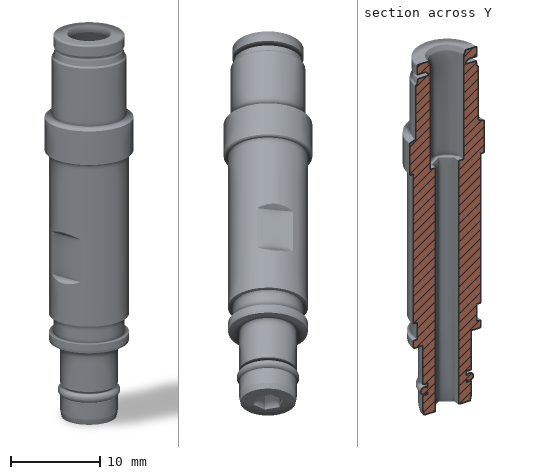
import cadquery as cq
import math

length = 45.5

spigot_radius = 3.25
spigot_tip_radius = 3.1
spigot_tip_height = 0.7
ring_groove_radius = 2.6
ring_groove_bottom = 2.6
ring_groove_top = 3.95
ring_section_radius = 0.5
ring_outer_radius = 3.5
ring_center_height = 3.15

body_radius = 4.5
collar_bottom = 9.0
collar_top = 10.05
collar_chamfer_height = 0.27
collar_chamfer_width = 0.05
body_groove_radius = 4.0
body_bottom = 12.2

flange_diameter = 9.95
flange_radius = flange_diameter / 2
flange_bottom = 31.5
flange_bottom_chamfer = 0.15
flange_rim_top = 35.63
sleeve_radius = 4.2
sleeve_bottom = 35.95
sleeve_top = 42.8
lip_top_radius = 3.85
lip_bottom_radius = 4.0
lip_top = 43.7

button_radius = 4.0
button_bottom = 44.2
button_edge_fillet = 0.25
neck_radius = 2.5

flat_distance = 4.0
flat_bottom = 17.45
flat_top = 22.5

bore_radius = 2.2
bore_chamfer_width = 0.27
bore_chamfer_height = 0.6
bore_depth = length - flange_bottom
hex_across_flats = 3.0


def fillet_arc(profile, end, center, radius, direction):
    """Quarter arc to end, bulging from center toward direction (signs along radius and height)."""
    reach = radius * math.sqrt(0.5)
    middle = (center[0] + direction[0] * reach, center[1] + direction[1] * reach)
    return profile.threePointArc(middle, end)


def revolved_body():
    """Solid of revolution, outlined as (radius, height) from the bottom up."""
    lip_bottom = sleeve_top + sleeve_radius - lip_bottom_radius
    outline = [
        (0, 0),
        (spigot_tip_radius, 0),
        (spigot_radius, spigot_tip_height),
        (spigot_radius, ring_groove_bottom),
        (ring_groove_radius, ring_groove_bottom),
        (ring_groove_radius, ring_groove_top),
        (spigot_radius, ring_groove_top),
        (spigot_radius, collar_bottom),
        (body_radius - collar_chamfer_width, collar_bottom),
        (body_radius, collar_bottom + collar_chamfer_height),
        (body_radius, collar_top),
        (body_groove_radius, collar_top),
        (body_groove_radius, body_bottom),
        (body_radius, body_bottom),
        (body_radius, flange_bottom),
        (flange_radius - flange_bottom_chamfer, flange_bottom),
        (flange_radius, flange_bottom + flange_bottom_chamfer),
        (flange_radius, flange_rim_top),
        (sleeve_radius, sleeve_bottom),
        (sleeve_radius, sleeve_top),
        (lip_bottom_radius, lip_bottom),
        (lip_top_radius, lip_top),
        (neck_radius, lip_top),
    ]
    neck_fillet = button_bottom - lip_top
    neck_center = (neck_radius + neck_fillet, lip_top)
    profile = cq.Workplane("XZ").polyline(outline)
    profile = fillet_arc(profile, (neck_center[0], button_bottom), neck_center, neck_fillet, (-1, 1))
    edge_center = (button_radius - button_edge_fillet, length - button_edge_fillet)
    profile = profile.lineTo(button_radius, button_bottom).lineTo(button_radius, edge_center[1])
    profile = fillet_arc(profile, (edge_center[0], length), edge_center, button_edge_fillet, (1, 1))
    return profile.lineTo(0, length).close().revolve(360, (0, 0, 0), (0, 1, 0))


def o_ring():
    """Torus seated in the groove of the spigot."""
    center_radius = ring_outer_radius - ring_section_radius
    section = cq.Workplane("XZ").center(center_radius, ring_center_height).circle(ring_section_radius)
    return section.revolve(360, (-center_radius, 0, 0), (-center_radius, 1, 0))


def wrench_flat(side):
    """Cutter for one flat; its ends slope outward at 45 degrees. side is -1 or +1 along Y."""
    slope = body_radius - flat_distance
    section = [
        (side * flat_distance, flat_bottom),
        (side * flat_distance, flat_top),
        (side * body_radius, flat_top + slope),
        (side * body_radius, flat_bottom - slope),
    ]
    return cq.Workplane("YZ").polyline(section).close().extrude(body_radius, both=True)


def tube_bore():
    """Round bore with a chamfered mouth, open at the top."""
    mouth_radius = bore_radius + bore_chamfer_width
    bore_bottom = length - bore_depth
    outline = [
        (0, bore_bottom),
        (bore_radius, bore_bottom),
        (bore_radius, length - bore_chamfer_height),
        (mouth_radius, length),
        (0, length),
    ]
    return cq.Workplane("XZ").polyline(outline).close().revolve(360, (0, 0, 0), (0, 1, 0))


def hex_passage():
    """Hexagonal hole through the whole length, with corners on the Y axis."""
    across_corners = hex_across_flats / math.cos(math.pi / 6)
    hexagon = cq.Workplane("XY").polygon(6, across_corners).extrude(length)
    return hexagon.rotate((0, 0, 0), (0, 0, 1), 90)


result = revolved_body().union(o_ring())
for side in (-1, 1):
    result = result.cut(wrench_flat(side))
result = result.cut(tube_bore()).cut(hex_passage())